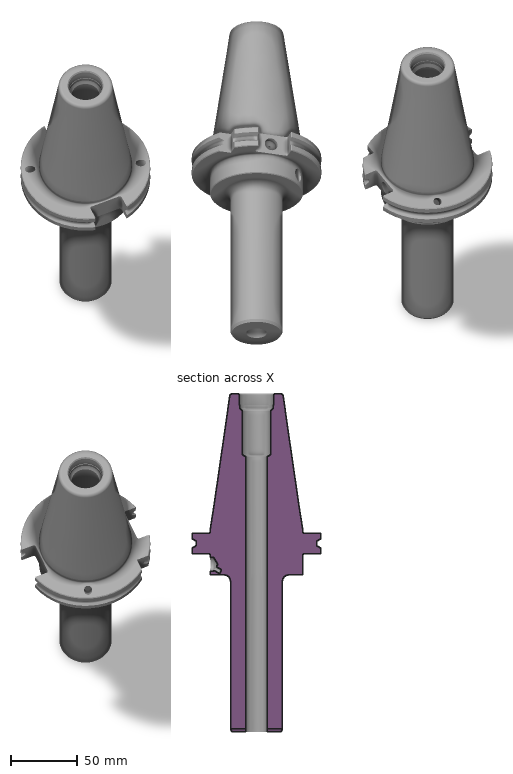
import cadquery as cq
import math

GAUGE_DIAMETER = 69.85
TAPER_RATIO = 7 / 24
TAPER_LENGTH = 101.75
TOTAL_LENGTH = 254.6
TAPER_END_FILLET = 2.5

FLANGE_DIAMETER = 97.5
FLANGE_TOP_Z = -3.2
FLANGE_THICKNESS = 15.9
FLANGE_CHAMFER = 0.6
FLANGE_ROOT_FILLET = 0.8
GROOVE_CENTER_Z = -11.1
GROOVE_OPENING = 7.0
GROOVE_FLOOR_RADIUS = 45.4
GROOVE_ROOT_FILLET = 0.8
GROOVE_FLANK_ANGLE = 30

DRIVE_SLOT_WIDTH = 25.7
DRIVE_SLOT_CORNER_RADIUS = 1.5
DRIVE_SLOT_EDGE_CHAMFER = 0.7
LEFT_SLOT_FLOOR = 37.2
RIGHT_SLOT_FLOOR = 35.9
NOTCH_X = -29.5
NOTCH_Y = 29.3

COLLAR_DIAMETER = 70.0
COLLAR_BOTTOM_Z = -35.0
COLLAR_CHAMFER = 0.6
SHAFT_DIAMETER = 39.5
SHAFT_FILLET = 4.5

END_RING_HEIGHT = 2.0
END_RING_INSET = 1.1

MOUTH_DIAMETER = 27.0
MOUTH_CHAMFER_DEPTH = 1.1
COUNTERBORE_DIAMETER = 25.6
COUNTERBORE_DEPTH = 8.5
RECESS_DIAMETER = 24.9
RECESS_DEPTH = 11.1
THREAD_DIAMETER = 21.0
THREAD_DEPTH = 46.0
THROUGH_DIAMETER = 15.5
BORE_CONE_ANGLE = 31

CHIP_HOLE_DIAMETER = 10.0
CHIP_HOLE_DEPTH = 4.6
CHIP_CENTER_DIAMETER = 1.6
CHIP_CENTER_DEPTH = 1.0

SCREW_HOLE_DIAMETER = 10.0
SCREW_HOLE_DEPTH = 2.7
SCREW_HOLE_Z = -26.8
SCREW_HOLE_TIP_SLOPE = 31
SCREW_HOLE_ANGLES = (227, 270)
OIL_PASSAGE_DIAMETER = 3.0
OIL_PASSAGE_DROP = 2.5
OIL_PASSAGE_TILT = 30
OIL_PASSAGE_LENGTH = 6.0

COOLANT_HOLE_DIAMETER = 6.0
COOLANT_CIRCLE_RADIUS = 41.8
COOLANT_HOLE_ANGLES = (69.5, 249.5)
COOLANT_HOLE_TILT = 40
COOLANT_HOLE_LENGTH = 16.0

BOTTOM_Z = TAPER_LENGTH - TOTAL_LENGTH
SHAFT_BOTTOM_Z = BOTTOM_Z + END_RING_HEIGHT
FLANGE_BOTTOM_Z = FLANGE_TOP_Z - FLANGE_THICKNESS
FLANGE_RADIUS = FLANGE_DIAMETER / 2
COLLAR_RADIUS = COLLAR_DIAMETER / 2
SHAFT_RADIUS = SHAFT_DIAMETER / 2
SELECT_MARGIN = 0.1


def taper_radius(z):
    return (GAUGE_DIAMETER - TAPER_RATIO * z) / 2


def outer_shape():
    """Taper, flange with its V groove, collar and shaft, turned in one piece."""
    flank_drop = (FLANGE_RADIUS - GROOVE_FLOOR_RADIUS) * math.tan(math.radians(GROOVE_FLANK_ANGLE))
    groove_top = GROOVE_CENTER_Z + GROOVE_OPENING / 2
    groove_bottom = GROOVE_CENTER_Z - GROOVE_OPENING / 2
    arc_step = SHAFT_FILLET * (1 - math.sqrt(0.5))
    turned = (
        cq.Workplane("XZ")
        .moveTo(0, TAPER_LENGTH)
        .lineTo(taper_radius(TAPER_LENGTH), TAPER_LENGTH)
        .lineTo(taper_radius(0), 0)
        .lineTo(taper_radius(0), FLANGE_TOP_Z)
        .lineTo(FLANGE_RADIUS - FLANGE_CHAMFER, FLANGE_TOP_Z)
        .lineTo(FLANGE_RADIUS, FLANGE_TOP_Z - FLANGE_CHAMFER)
        .lineTo(FLANGE_RADIUS, groove_top)
        .lineTo(GROOVE_FLOOR_RADIUS, groove_top - flank_drop)
        .lineTo(GROOVE_FLOOR_RADIUS, groove_bottom + flank_drop)
        .lineTo(FLANGE_RADIUS, groove_bottom)
        .lineTo(FLANGE_RADIUS, FLANGE_BOTTOM_Z + FLANGE_CHAMFER)
        .lineTo(FLANGE_RADIUS - FLANGE_CHAMFER, FLANGE_BOTTOM_Z)
        .lineTo(COLLAR_RADIUS, FLANGE_BOTTOM_Z)
        .lineTo(COLLAR_RADIUS, COLLAR_BOTTOM_Z + COLLAR_CHAMFER)
        .lineTo(COLLAR_RADIUS - COLLAR_CHAMFER, COLLAR_BOTTOM_Z)
        .lineTo(SHAFT_RADIUS + SHAFT_FILLET, COLLAR_BOTTOM_Z)
        .threePointArc(
            (SHAFT_RADIUS + arc_step, COLLAR_BOTTOM_Z - arc_step),
            (SHAFT_RADIUS, COLLAR_BOTTOM_Z - SHAFT_FILLET),
        )
        .lineTo(SHAFT_RADIUS, SHAFT_BOTTOM_Z)
        .lineTo(0, SHAFT_BOTTOM_Z)
        .close()
        .revolve(360, (0, 0), (0, 1))
    )
    turned = turned.faces(">Z").edges().fillet(TAPER_END_FILLET)
    inner_corners = (
        (taper_radius(0), FLANGE_TOP_Z, FLANGE_ROOT_FILLET),
        (COLLAR_RADIUS, FLANGE_BOTTOM_Z, FLANGE_ROOT_FILLET),
        (GROOVE_FLOOR_RADIUS, groove_top - flank_drop, GROOVE_ROOT_FILLET),
        (GROOVE_FLOOR_RADIUS, groove_bottom + flank_drop, GROOVE_ROOT_FILLET),
    )
    for radius, z, fillet in inner_corners:
        root = cq.selectors.BoxSelector(
            (-radius - SELECT_MARGIN, -radius - SELECT_MARGIN, z - SELECT_MARGIN),
            (radius + SELECT_MARGIN, radius + SELECT_MARGIN, z + SELECT_MARGIN),
            boundingbox=True,
        )
        turned = turned.edges(root).fillet(fillet)
    return turned


def stepped_bore():
    """Pull-stud counterbore and thread hole that narrow by cones to the through bore."""
    slope = math.tan(math.radians(BORE_CONE_ANGLE))
    mouth_radius = MOUTH_DIAMETER / 2
    counterbore_radius = COUNTERBORE_DIAMETER / 2
    thread_radius = THREAD_DIAMETER / 2
    through_radius = THROUGH_DIAMETER / 2
    recess_radius = RECESS_DIAMETER / 2
    counterbore_z = TAPER_LENGTH - COUNTERBORE_DEPTH
    recess_z = TAPER_LENGTH - RECESS_DEPTH
    thread_z = TAPER_LENGTH - THREAD_DEPTH
    return (
        cq.Workplane("XZ")
        .moveTo(0, TAPER_LENGTH)
        .lineTo(mouth_radius, TAPER_LENGTH)
        .lineTo(counterbore_radius, TAPER_LENGTH - MOUTH_CHAMFER_DEPTH)
        .lineTo(counterbore_radius, counterbore_z)
        .lineTo(recess_radius, counterbore_z)
        .lineTo(recess_radius, recess_z)
        .lineTo(thread_radius, recess_z - (recess_radius - thread_radius))
        .lineTo(thread_radius, thread_z)
        .lineTo(through_radius, thread_z - (thread_radius - through_radius) * slope)
        .lineTo(through_radius, BOTTOM_Z)
        .lineTo(0, BOTTOM_Z)
        .close()
        .revolve(360, (0, 0), (0, 1))
    )


def drive_slot(side, floor):
    """Cutter for a drive slot on the +X (side = 1) or -X (side = -1) edge of the flange."""
    half_width = DRIVE_SLOT_WIDTH / 2
    chamfer = DRIVE_SLOT_EDGE_CHAMFER
    slot = (
        cq.Workplane("XY", origin=(side * (floor + FLANGE_RADIUS / 2), 0, FLANGE_BOTTOM_Z))
        .rect(FLANGE_RADIUS, DRIVE_SLOT_WIDTH)
        .extrude(FLANGE_THICKNESS)
        .edges("|Z")
        .fillet(DRIVE_SLOT_CORNER_RADIUS)
    )
    rim_x = math.sqrt(FLANGE_RADIUS**2 - half_width**2)
    flared_mouth = (
        cq.Workplane("XY", origin=(0, 0, FLANGE_BOTTOM_Z))
        .moveTo(side * (rim_x - chamfer), -half_width)
        .lineTo(side * (rim_x + chamfer), -half_width - 2 * chamfer)
        .lineTo(side * (rim_x + chamfer), half_width + 2 * chamfer)
        .lineTo(side * (rim_x - chamfer), half_width)
        .close()
        .extrude(FLANGE_THICKNESS)
    )
    return slot.union(flared_mouth)


def orientation_notch():
    return (
        cq.Workplane("XY", origin=(NOTCH_X, NOTCH_Y, FLANGE_BOTTOM_Z))
        .rect(-FLANGE_RADIUS, FLANGE_RADIUS, centered=False)
        .extrude(FLANGE_THICKNESS)
    )


def chip_hole():
    """Blind hole in the floor of the -X drive slot, with a small centre hole."""
    middle_z = (FLANGE_TOP_Z + FLANGE_BOTTOM_Z) / 2
    floor_plane = cq.Workplane("YZ", origin=(-LEFT_SLOT_FLOOR, 0, middle_z))
    pocket = floor_plane.circle(CHIP_HOLE_DIAMETER / 2).extrude(CHIP_HOLE_DEPTH)
    center = floor_plane.circle(CHIP_CENTER_DIAMETER / 2).extrude(CHIP_HOLE_DEPTH + CHIP_CENTER_DEPTH)
    return pocket.union(center)


def screw_hole(angle):
    """Radial hole in the collar with a conical end and an oil passage sloping down from it."""
    radius = SCREW_HOLE_DIAMETER / 2
    tip_depth = radius * math.tan(math.radians(SCREW_HOLE_TIP_SLOPE))
    wall_end = COLLAR_RADIUS - SCREW_HOLE_DEPTH
    hole = (
        cq.Workplane("XZ")
        .moveTo(wall_end - tip_depth, 0)
        .lineTo(wall_end, radius)
        .lineTo(FLANGE_RADIUS, radius)
        .lineTo(FLANGE_RADIUS, 0)
        .close()
        .revolve(360, (0, 0), (1, 0))
    )
    passage = cq.Workplane(
        cq.Solid.makeCylinder(
            OIL_PASSAGE_DIAMETER / 2,
            OIL_PASSAGE_LENGTH,
            cq.Vector(wall_end, 0, -OIL_PASSAGE_DROP),
            cq.Vector(-1, 0, -math.tan(math.radians(OIL_PASSAGE_TILT))),
        )
    )
    return (
        hole.union(passage)
        .translate((0, 0, SCREW_HOLE_Z))
        .rotate((0, 0, 0), (0, 0, 1), angle)
    )


def coolant_hole(angle):
    """Inclined hole from the upper flange face down toward the axis."""
    tilt = math.radians(COOLANT_HOLE_TILT)
    inward = cq.Vector(-math.sin(tilt), 0, -math.cos(tilt))
    start = cq.Vector(COOLANT_CIRCLE_RADIUS, 0, FLANGE_TOP_Z) - inward * COOLANT_HOLE_DIAMETER
    length = COOLANT_HOLE_LENGTH + COOLANT_HOLE_DIAMETER
    drill = cq.Solid.makeCylinder(COOLANT_HOLE_DIAMETER / 2, length, start, inward)
    return cq.Workplane(drill).rotate((0, 0, 0), (0, 0, 1), angle)


def make_holder():
    holder = outer_shape().cut(stepped_bore())
    holder = holder.cut(drive_slot(-1, LEFT_SLOT_FLOOR))
    holder = holder.cut(drive_slot(1, RIGHT_SLOT_FLOOR))
    holder = holder.cut(orientation_notch())
    holder = holder.cut(chip_hole())
    for angle in SCREW_HOLE_ANGLES:
        holder = holder.cut(screw_hole(angle))
    for angle in COOLANT_HOLE_ANGLES:
        holder = holder.cut(coolant_hole(angle))
    return holder


def make_end_ring():
    """Conical ring that closes the lower end of the shaft around the through bore."""
    return (
        cq.Workplane("XY", origin=(0, 0, BOTTOM_Z))
        .circle(SHAFT_RADIUS - END_RING_INSET)
        .workplane(offset=END_RING_HEIGHT)
        .circle(SHAFT_RADIUS)
        .loft()
        .cut(stepped_bore())
    )


holder = make_holder()
end_ring = make_end_ring()
result = cq.Compound.makeCompound([holder.val(), end_ring.val()])